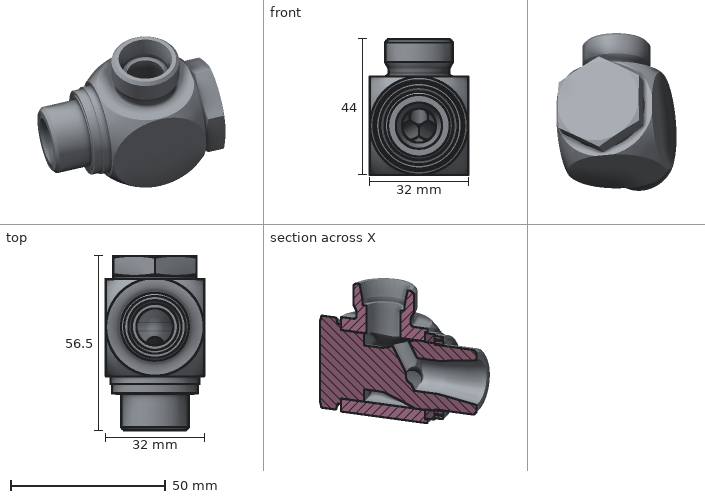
import cadquery as cq
import math


block_half = 16.0
block_back = 15.5
corner_sphere_radius = 22.5
shank_bore_diameter = 22.95
ring_recess_diameter = 29.4
ring_recess_depth = 1.0

port_top = 28.0
thread_diameter = 22.0
thread_chamfer = 1.0
port_thread_bottom = 20.6
port_neck_diameter = 19.7
port_relief_angle = 30
port_neck_fillet = 1.0
port_mouth_diameter = 17.3
tube_diameter = 15.0
tube_seat_depth = 7.0
seat_cone_half_angle = 12
port_bore_diameter = 12.0

screw_front = -33.5
hex_width = 27.0
hex_front = 16.5
screw_length = 56.5
screw_back = screw_length + screw_front
hex_chamfer_angle = 15
waist_diameter = 15.0
waist_back = 7.0
waist_blend_back = 1.35
waist_blend_radius = 8.0
waist_cone_angle = 20
screw_bore_diameter = 11.0
screw_mouth_diameter = 15.0
screw_mouth_half_angle = 8
drill_tip_half_angle = 59
drill_tip_y = -7.9
cross_hole_diameter = 6.0
cross_hole_origin_y = -11.75
cross_hole_tilt = 30
cross_hole_count = 3

support_ring_diameter = 28.9
support_ring_front = -18.5
seal_ring_diameter = 27.9
seal_ring_bore = 25.4
seal_ring_front = -21.5
seal_ring_chamfer = 0.1
seal_diameter = 25.0
seal_bore = 22.3
seal_front = -21.75


def cone_length(large_diameter, small_diameter, half_angle):
    """Axial length of a cone between two diameters."""
    return (large_diameter - small_diameter) / 2 / math.tan(math.radians(half_angle))


def disc(diameter, back, front):
    """Cylinder on the Y axis reaching from back to front, where front is the lower Y."""
    return cq.Workplane("XZ", origin=(0, back, 0)).circle(diameter / 2).extrude(back - front)


def tube(outer_diameter, inner_diameter, back, front):
    """Plain ring on the Y axis."""
    return disc(outer_diameter, back, front).cut(disc(inner_diameter, back, front))


def port_outside():
    """Threaded stub with a thread relief and a fillet onto the block."""
    thread_radius = thread_diameter / 2
    neck_radius = port_neck_diameter / 2
    neck_top = port_thread_bottom - cone_length(thread_diameter, port_neck_diameter, port_relief_angle)
    foot_radius = neck_radius + port_neck_fillet
    arc_offset = port_neck_fillet * (1 - math.sin(math.radians(45)))
    stub = (
        cq.Workplane("XZ")
        .lineTo(foot_radius, 0)
        .lineTo(foot_radius, block_half)
        .threePointArc(
            (neck_radius + arc_offset, block_half + arc_offset),
            (neck_radius, block_half + port_neck_fillet),
        )
        .lineTo(neck_radius, neck_top)
        .lineTo(thread_radius, port_thread_bottom)
        .lineTo(thread_radius, port_top - thread_chamfer)
        .lineTo(thread_radius - thread_chamfer, port_top)
        .lineTo(0, port_top)
        .close()
        .revolve(360, (0, 0, 0), (0, 1, 0))
    )
    relief_root = cq.selectors.BoxSelector(
        (-thread_radius, -thread_radius, neck_top - 0.05),
        (thread_radius, thread_radius, neck_top + 0.05),
        boundingbox=True,
    )
    return stub.edges(relief_root).fillet(port_neck_fillet)


def port_inside():
    """Tube socket with its sealing cone, and the bore into the block."""
    socket_radius = tube_diameter / 2
    seat_floor = port_top - tube_seat_depth
    cone_bottom = port_top - cone_length(port_mouth_diameter, tube_diameter, seat_cone_half_angle)
    return (
        cq.Workplane("XZ")
        .lineTo(port_bore_diameter / 2, 0)
        .lineTo(port_bore_diameter / 2, seat_floor)
        .lineTo(socket_radius, seat_floor)
        .lineTo(socket_radius, cone_bottom)
        .lineTo(port_mouth_diameter / 2, port_top)
        .lineTo(0, port_top)
        .close()
        .revolve(360, (0, 0, 0), (0, 1, 0))
    )


def make_housing():
    """Block with spherical corners, pipe port, screw bore and front ring recess."""
    depth = block_half + block_back
    block = cq.Workplane("XY").box(2 * block_half, depth, 2 * block_half)
    block = block.translate((0, block_back - depth / 2, 0))
    block = block.intersect(cq.Workplane("XY").sphere(corner_sphere_radius))
    recess = disc(ring_recess_diameter, ring_recess_depth - block_half, -block_half)
    return (
        block.union(port_outside())
        .cut(port_inside())
        .cut(disc(shank_bore_diameter, block_back, -block_half))
        .cut(recess)
    )


def screw_head():
    """Hexagon with both ends chamfered, and the round collar under it."""
    corner_diameter = hex_width / math.cos(math.radians(30))
    chamfer = (corner_diameter - hex_width) / 2 * math.tan(math.radians(hex_chamfer_angle))
    hexagon = (
        cq.Workplane("XZ", origin=(0, screw_back, 0))
        .polygon(6, corner_diameter)
        .extrude(screw_back - hex_front)
        .rotate((0, 0, 0), (0, 1, 0), 30)
    )
    envelope = (
        cq.Workplane("XY")
        .moveTo(0, hex_front)
        .lineTo(hex_width / 2, hex_front)
        .lineTo(corner_diameter / 2, hex_front + chamfer)
        .lineTo(corner_diameter / 2, screw_back - chamfer)
        .lineTo(hex_width / 2, screw_back)
        .lineTo(0, screw_back)
        .close()
        .revolve(360, (0, 0, 0), (0, 1, 0))
    )
    return hexagon.intersect(envelope).union(disc(hex_width, hex_front, block_back))


def screw_shank():
    """Shank with a waist, a blended cone in front of the waist, and the threaded end."""
    land_radius = shank_bore_diameter / 2
    waist_radius = waist_diameter / 2
    thread_radius = thread_diameter / 2

    def blend_point(angle):
        turn = math.radians(angle)
        radius = waist_radius + waist_blend_radius * (1 - math.cos(turn))
        return radius, waist_blend_back - waist_blend_radius * math.sin(turn)

    cone_radius, cone_back = blend_point(waist_cone_angle)
    cone_front = cone_back - (land_radius - cone_radius) / math.tan(math.radians(waist_cone_angle))
    return (
        cq.Workplane("XY")
        .moveTo(0, block_back)
        .lineTo(land_radius, block_back)
        .lineTo(land_radius, waist_back)
        .lineTo(waist_radius, waist_back)
        .lineTo(waist_radius, waist_blend_back)
        .threePointArc(blend_point(waist_cone_angle / 2), (cone_radius, cone_back))
        .lineTo(land_radius, cone_front)
        .lineTo(land_radius, support_ring_front)
        .lineTo(thread_radius, support_ring_front)
        .lineTo(thread_radius, screw_front + thread_chamfer)
        .lineTo(thread_radius - thread_chamfer, screw_front)
        .lineTo(0, screw_front)
        .close()
        .revolve(360, (0, 0, 0), (0, 1, 0))
    )


def screw_bore():
    """Blind bore with a tapered mouth and a drill-point end."""
    bore_radius = screw_bore_diameter / 2
    mouth_back = screw_front + cone_length(screw_mouth_diameter, screw_bore_diameter, screw_mouth_half_angle)
    bore_back = drill_tip_y - cone_length(screw_bore_diameter, 0, drill_tip_half_angle)
    return (
        cq.Workplane("XY")
        .moveTo(0, screw_front)
        .lineTo(screw_mouth_diameter / 2, screw_front)
        .lineTo(bore_radius, mouth_back)
        .lineTo(bore_radius, bore_back)
        .lineTo(0, drill_tip_y)
        .close()
        .revolve(360, (0, 0, 0), (0, 1, 0))
    )


def cross_hole(angle):
    """Slanted hole from the bore out through the waist; angle is measured around Y from +Z."""
    tilt = math.radians(cross_hole_tilt)
    hole = cq.Solid.makeCylinder(
        cross_hole_diameter / 2,
        shank_bore_diameter,
        cq.Vector(0, cross_hole_origin_y, 0),
        cq.Vector(0, math.sin(tilt), math.cos(tilt)),
    )
    return cq.Workplane(hole.rotate(cq.Vector(0, 0, 0), cq.Vector(0, 1, 0), angle))


def make_screw():
    """Hollow screw: head, shank, bore and slanted cross holes."""
    shank = screw_shank().cut(screw_bore())
    for index in range(cross_hole_count):
        shank = shank.cut(cross_hole(index * 360 / cross_hole_count))
    return shank.union(screw_head())


def make_support_ring():
    """Ring seated in the housing recess."""
    return tube(support_ring_diameter, shank_bore_diameter, ring_recess_depth - block_half, support_ring_front)


def make_seal_ring():
    """Ring in front of the support ring, chamfered on its outer front edge."""
    ring = tube(seal_ring_diameter, seal_ring_bore, support_ring_front, seal_ring_front)
    front_edges = ring.faces("<Y").edges("%CIRCLE")
    return front_edges.edges(cq.selectors.RadiusNthSelector(-1)).chamfer(seal_ring_chamfer)


def make_seal():
    """Soft seal inside the seal ring, standing slightly proud of it."""
    return tube(seal_diameter, seal_bore, support_ring_front, seal_front)


housing = make_housing()
screw = make_screw()
support_ring = make_support_ring()
seal_ring = make_seal_ring()
seal = make_seal()

result = cq.Compound.makeCompound(
    [housing.val(), screw.val(), support_ring.val(), seal_ring.val(), seal.val()]
)